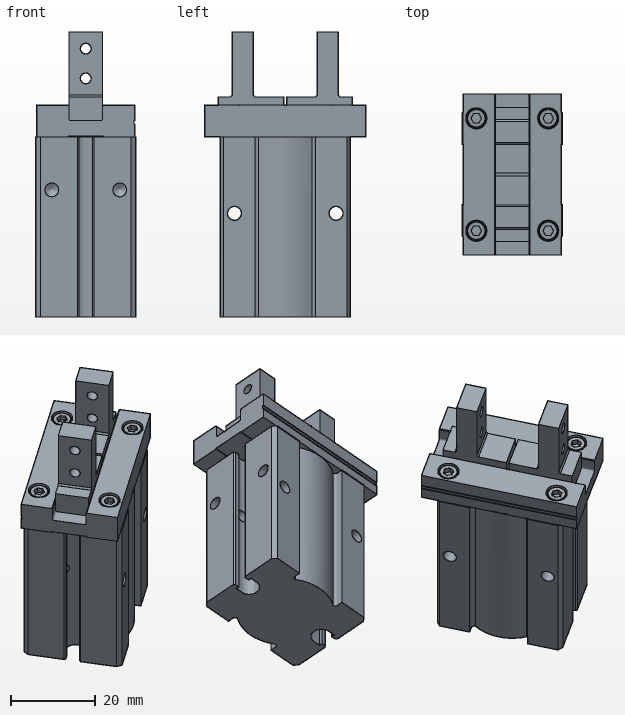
import cadquery as cq
import math


OVERALL_HEIGHT = 67.3

BODY_X = 23.6
BODY_Y = 30.75
BODY_HEIGHT = 42.5
BODY_CORNER_RADIUS = 18.7

RECESS_WIDTH = 14.2
RECESS_CORNER_RADIUS = 0.6
RECESS_DEPTH = 2.15
BARREL_RADIUS = 11.5

GROOVE_NECK = 3.3
GROOVE_NECK_DEPTH = 1.5
GROOVE_CHAMFER = 0.35
GROOVE_CAVITY = 5.0
GROOVE_AXIS_DEPTH = 3.3
GROOVE_FLOOR_WIDTH = 1.1

MOUNT_DIAMETER = 3.2
CROSS_HOLE_Y = 12.0
CROSS_HOLE_Z = 24.5
FACE_HOLE_X = 8.0
FACE_HOLE_Z = 30.0
FACE_HOLE_DEPTH = 5.4
DRILL_POINT_ANGLE = 118.0

PLATE_X = 23.2
PLATE_Y = 38.0
PLATE_TOP = 50.0
RELIEF_WIDTH = 8.2
RELIEF_HEIGHT = 0.2
NOTCH_DEPTH = 0.2
NOTCH_HEIGHT = 0.95
NOTCH_Z = 45.9

SLOT_FLOOR = 46.4
SLOT_CHAMFER = 0.2
BOTTOM_RADIUS = 0.5

SCREW_X = 8.5
SCREW_Y = 13.25
COUNTERBORE_DIAMETER = 5.0
SCREW_HEAD_DIAMETER = 4.5
COUNTERBORE_DEPTH = 2.0
HEAD_BELOW_PLATE = 0.3
HEAD_CHAMFER = 0.2
SOCKET_CORNERS = 2.5
SOCKET_DEPTH = 1.35

JAW_WIDTH = 8.0
JAW_INNER_Y = 0.35
JAW_OUTER_Y = 15.8
JAW_BASE_TOP = 51.95
FINGER_INNER_Y = 7.55
FINGER_OUTER_Y = 12.5
FINGER_ROOT = 0.4
FINGER_HOLE_DIAMETER = 2.5
FINGER_HOLE_TOP_GAP = 4.0
FINGER_HOLE_PITCH = 7.0


def block(size_x, size_y, z_low, z_high):
    """Box centred on the Z axis between two heights."""
    return cq.Workplane("XY").workplane(offset=z_low).rect(size_x, size_y).extrude(z_high - z_low)


def body_core():
    """Rectangular body with its corners turned to one common radius."""
    turned = cq.Workplane("XY").circle(BODY_CORNER_RADIUS).extrude(BODY_HEIGHT)
    return block(BODY_X, BODY_Y, 0, BODY_HEIGHT).intersect(turned)


def side_recess():
    """Recess in the -X face, with rounded inner corners and the barrel left standing."""
    recess = (
        cq.Workplane("XY")
        .center(-BODY_X / 2, 0)
        .rect(2 * RECESS_DEPTH, RECESS_WIDTH)
        .extrude(BODY_HEIGHT)
        .edges("|Z and >X")
        .fillet(RECESS_CORNER_RADIUS)
    )
    barrel = cq.Workplane("XY").circle(BARREL_RADIUS).extrude(BODY_HEIGHT)
    return recess.cut(barrel)


def sensor_groove():
    """Groove in the -Y face: chamfered neck, then a wider cavity with a round, flat-floored bottom."""
    face_y = -BODY_Y / 2
    chamfer_y = face_y + GROOVE_CHAMFER
    shoulder_y = face_y + GROOVE_NECK_DEPTH
    axis_y = face_y + GROOVE_AXIS_DEPTH
    half_neck = GROOVE_NECK / 2
    half_mouth = half_neck + GROOVE_CHAMFER
    half_floor = GROOVE_FLOOR_WIDTH / 2
    radius = GROOVE_CAVITY / 2
    floor_y = axis_y + math.sqrt(radius**2 - half_floor**2)
    arc_mid_x = radius * math.cos(math.pi / 4)
    arc_mid_y = axis_y + radius * math.sin(math.pi / 4)
    return (
        cq.Workplane("XY")
        .moveTo(-half_mouth, face_y)
        .lineTo(-half_neck, chamfer_y)
        .lineTo(-half_neck, shoulder_y)
        .lineTo(-radius, shoulder_y)
        .lineTo(-radius, axis_y)
        .threePointArc((-arc_mid_x, arc_mid_y), (-half_floor, floor_y))
        .lineTo(half_floor, floor_y)
        .threePointArc((arc_mid_x, arc_mid_y), (radius, axis_y))
        .lineTo(radius, shoulder_y)
        .lineTo(half_neck, shoulder_y)
        .lineTo(half_neck, chamfer_y)
        .lineTo(half_mouth, face_y)
        .close()
        .extrude(BODY_HEIGHT)
    )


def cross_hole(y):
    """Mounting hole through the whole body along X."""
    return (
        cq.Workplane("YZ")
        .workplane(offset=-BODY_X)
        .center(y, CROSS_HOLE_Z)
        .circle(MOUNT_DIAMETER / 2)
        .extrude(2 * BODY_X)
    )


def face_hole(x):
    """Blind mounting hole in the -Y face with a drill-point end."""
    radius = MOUNT_DIAMETER / 2
    point = radius / math.tan(math.radians(DRILL_POINT_ANGLE / 2))
    return (
        cq.Workplane("XY")
        .workplane(offset=FACE_HOLE_Z)
        .moveTo(x, -BODY_Y / 2)
        .lineTo(x + radius, -BODY_Y / 2)
        .lineTo(x + radius, -BODY_Y / 2 + FACE_HOLE_DEPTH)
        .lineTo(x, -BODY_Y / 2 + FACE_HOLE_DEPTH + point)
        .close()
        .revolve(360, (x, 0), (x, 1))
    )


def make_body():
    body = body_core()
    for angle in (0, 180):
        body = body.cut(side_recess().rotate((0, 0, 0), (0, 0, 1), angle))
        body = body.cut(sensor_groove().rotate((0, 0, 0), (0, 0, 1), angle))
    for side in (-1, 1):
        body = body.cut(cross_hole(side * CROSS_HOLE_Y))
        body = body.cut(face_hole(side * FACE_HOLE_X))
    return body


def guide_profile(width, y_length, z_high):
    """Bar along Y standing on the slot floor, with rounded lower edges."""
    return block(width, y_length, SLOT_FLOOR, z_high).edges("|Y and <Z").fillet(BOTTOM_RADIUS)


def guide_slot():
    """Slot the jaws run in, with chamfered upper edges."""
    half_width = JAW_WIDTH / 2
    half_mouth = half_width + SLOT_CHAMFER
    mouth = (
        cq.Workplane("XZ")
        .workplane(offset=-PLATE_Y / 2)
        .moveTo(-half_width, PLATE_TOP - SLOT_CHAMFER)
        .lineTo(half_width, PLATE_TOP - SLOT_CHAMFER)
        .lineTo(half_mouth, PLATE_TOP)
        .lineTo(-half_mouth, PLATE_TOP)
        .close()
        .extrude(PLATE_Y)
    )
    return guide_profile(JAW_WIDTH, PLATE_Y, PLATE_TOP).union(mouth)


def screw_recess():
    """Space around a sunk screw head: counterbore less the chamfered head with its hexagon socket."""
    head_height = COUNTERBORE_DEPTH - HEAD_BELOW_PLATE
    counterbore = cq.Workplane("XY").circle(COUNTERBORE_DIAMETER / 2).extrude(COUNTERBORE_DEPTH)
    head = (
        cq.Workplane("XY")
        .circle(SCREW_HEAD_DIAMETER / 2)
        .extrude(head_height)
        .faces(">Z")
        .chamfer(HEAD_CHAMFER)
        .faces(">Z")
        .workplane()
        .polygon(6, SOCKET_CORNERS)
        .cutBlind(-SOCKET_DEPTH)
    )
    return counterbore.cut(head).translate((0, 0, PLATE_TOP - COUNTERBORE_DEPTH))


def make_plate():
    plate = block(PLATE_X, PLATE_Y, BODY_HEIGHT, PLATE_TOP)
    plate = plate.cut(guide_slot())
    plate = plate.cut(block(RELIEF_WIDTH, PLATE_Y, BODY_HEIGHT, BODY_HEIGHT + RELIEF_HEIGHT))
    notch = block(2 * NOTCH_DEPTH, PLATE_Y, NOTCH_Z - NOTCH_HEIGHT / 2, NOTCH_Z + NOTCH_HEIGHT / 2)
    plate = plate.cut(notch.translate((PLATE_X / 2, 0, 0)))
    for x in (-SCREW_X, SCREW_X):
        for y in (-SCREW_Y, SCREW_Y):
            plate = plate.cut(screw_recess().translate((x, y, 0)))
    return plate


def make_jaw():
    """Jaw on the +Y side: guided base and an upright finger with two cross holes."""
    base_length = JAW_OUTER_Y - JAW_INNER_Y
    base = guide_profile(JAW_WIDTH, base_length, JAW_BASE_TOP)
    base = base.translate((0, (JAW_OUTER_Y + JAW_INNER_Y) / 2, 0))
    finger = (
        cq.Workplane("YZ")
        .workplane(offset=-JAW_WIDTH / 2)
        .moveTo(FINGER_INNER_Y - FINGER_ROOT, JAW_BASE_TOP)
        .lineTo(FINGER_INNER_Y, JAW_BASE_TOP + FINGER_ROOT)
        .lineTo(FINGER_INNER_Y, OVERALL_HEIGHT)
        .lineTo(FINGER_OUTER_Y, OVERALL_HEIGHT)
        .lineTo(FINGER_OUTER_Y, JAW_BASE_TOP + FINGER_ROOT)
        .lineTo(FINGER_OUTER_Y + FINGER_ROOT, JAW_BASE_TOP)
        .close()
        .extrude(JAW_WIDTH)
    )
    jaw = base.union(finger)
    top_hole_z = OVERALL_HEIGHT - FINGER_HOLE_TOP_GAP
    for z in (top_hole_z, top_hole_z - FINGER_HOLE_PITCH):
        hole = cq.Workplane("XZ").center(0, z).circle(FINGER_HOLE_DIAMETER / 2).extrude(-JAW_OUTER_Y)
        jaw = jaw.cut(hole)
    return jaw


housing = make_body().union(make_plate())
jaws = [make_jaw().rotate((0, 0, 0), (0, 0, 1), angle) for angle in (0, 180)]

result = cq.Compound.makeCompound([housing.val(), *[jaw.val() for jaw in jaws]])